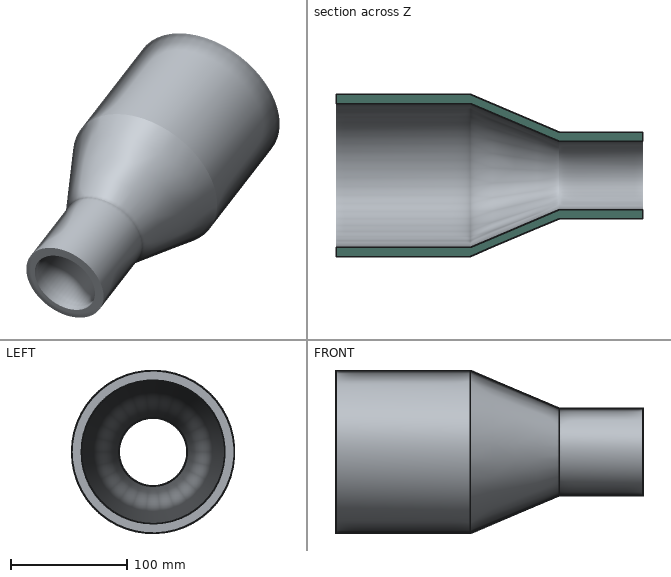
import cadquery as cq

total_length = 264.0
large_length = 115.5
small_length = 72.0
large_outer_diameter = 140.0
large_bore_diameter = 123.3
small_outer_diameter = 75.0
small_bore_diameter = 58.3

cone_start = large_length
cone_end = total_length - small_length


def stepped_cone(large_diameter, small_diameter):
    """Solid of revolution: large cylinder, cone, then small cylinder."""
    large_radius = large_diameter / 2
    small_radius = small_diameter / 2
    return (
        cq.Workplane("XY")
        .moveTo(0, 0)
        .lineTo(0, large_radius)
        .lineTo(cone_start, large_radius)
        .lineTo(cone_end, small_radius)
        .lineTo(total_length, small_radius)
        .lineTo(total_length, 0)
        .close()
        .revolve(360, (0, 0, 0), (1, 0, 0))
    )


outer_body = stepped_cone(large_outer_diameter, small_outer_diameter)
bore = stepped_cone(large_bore_diameter, small_bore_diameter)
result = outer_body.cut(bore)